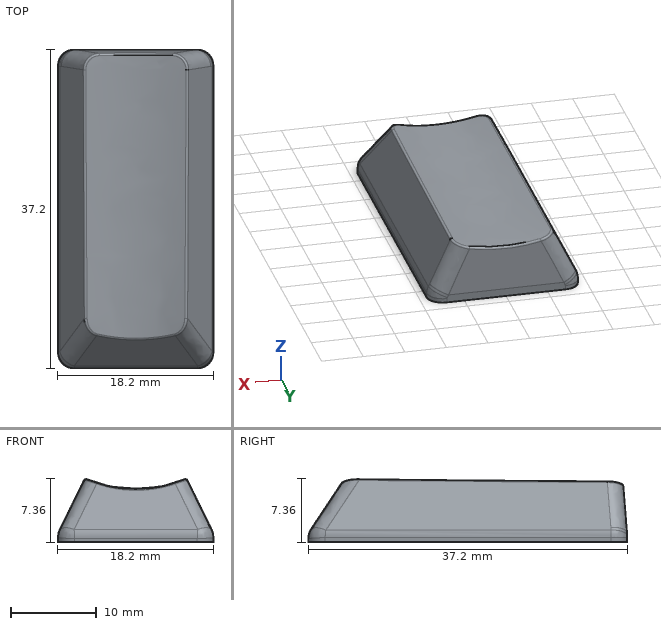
import cadquery as cq
import math

WIDTH = 18.15
LENGTH = 37.2
SKIRT_HEIGHT = 1.0

SIDE_LEAN = 26.2
FRONT_LEAN = 33.6
BACK_LEAN = 4.5

BODY_RADIUS = 1.95
RIM_RADIUS = 0.25

DISH_RADIUS_FRONT = 13.1
DISH_RADIUS_BACK = 21.2
DISH_FLOOR_FRONT = 6.15
DISH_FLOOR_BACK = 6.25

BLANK_HEIGHT = 8.93


def make_blank():
    """Straight skirt with leaning walls above it, still sharp-edged."""
    rise = BLANK_HEIGHT - SKIRT_HEIGHT
    side_inset = rise * math.tan(math.radians(SIDE_LEAN))
    front_inset = rise * math.tan(math.radians(FRONT_LEAN))
    back_inset = rise * math.tan(math.radians(BACK_LEAN))

    skirt = cq.Workplane("XY").rect(WIDTH, LENGTH).extrude(SKIRT_HEIGHT)
    walls = (
        cq.Workplane("XY")
        .workplane(offset=SKIRT_HEIGHT)
        .rect(WIDTH, LENGTH)
        .workplane(offset=rise)
        .center(0, (front_inset - back_inset) / 2)
        .rect(WIDTH - 2 * side_inset, LENGTH - front_inset - back_inset)
        .loft(ruled=True, combine=True)
    )
    return skirt.union(walls)


def make_dish_cutter():
    """Slightly conical body that hollows the top along the length of the cap."""
    front_axis = DISH_FLOOR_FRONT + DISH_RADIUS_FRONT
    back_axis = DISH_FLOOR_BACK + DISH_RADIUS_BACK
    return (
        cq.Workplane("XZ", origin=(0, -LENGTH / 2, 0))
        .center(0, front_axis)
        .circle(DISH_RADIUS_FRONT)
        .workplane(offset=-LENGTH)
        .center(0, back_axis - front_axis)
        .circle(DISH_RADIUS_BACK)
        .loft(ruled=True)
    )


def rim_selector():
    """Picks out everything above the lowest point of the dish."""
    lowest = min(DISH_FLOOR_FRONT, DISH_FLOOR_BACK)
    return cq.selectors.BoxSelector(
        (-WIDTH, -LENGTH, lowest),
        (WIDTH, LENGTH, BLANK_HEIGHT),
    )


blank = make_blank()

body_edges = blank.edges("not(<Z or >Z)")
rounded = body_edges.fillet(BODY_RADIUS)

dished = rounded.cut(make_dish_cutter())

result = dished.edges(rim_selector()).fillet(RIM_RADIUS)